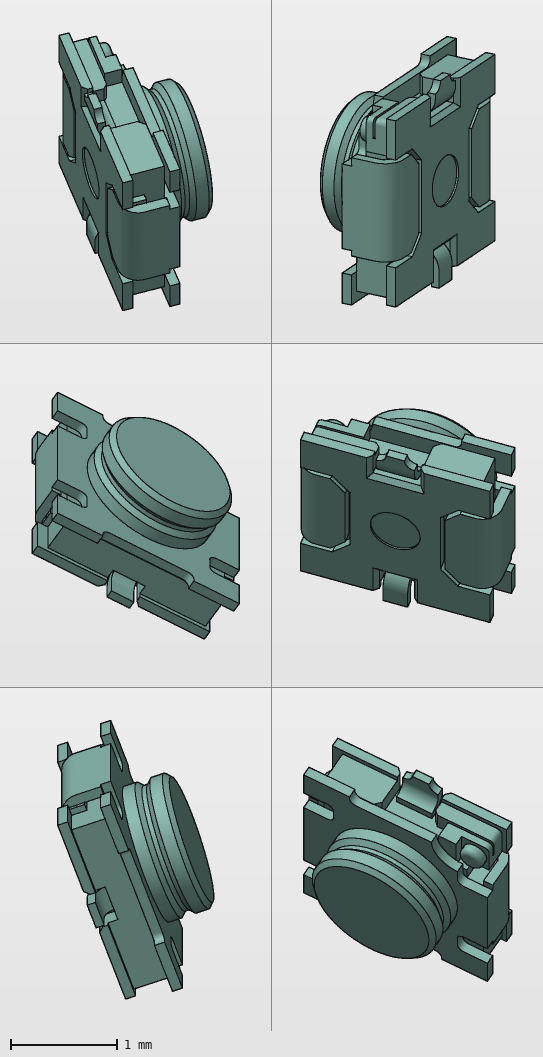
import cadquery as cq
import math


SHELL_HALF = 1.0
SHEET = 0.1
PLATE_FRONT = 0.45
PLATE_BACK = PLATE_FRONT + SHEET
CUT_MARGIN = 0.21

RING_RADIUS = 0.675
RING_CHAMFER = 0.05
RING_LAND = 0.125
RING_GROOVE = 0.046

CORNER_RADIUS = 0.07
TAB_INNER_X = 0.5
TAB_INNER_Z = 0.693
PLATE_HALF_HEIGHT = 0.9
RELIEF_X = 0.675
RELIEF_Z = 0.445
OPEN_CORNER_Z = 0.415
OPEN_ARC_RADIUS = 0.284

LEG_HALF_HEIGHT = 0.5
LEG_INNER_X = SHELL_HALF - SHEET
LEG_END_X = 0.5
LEG_CHAMFER = 0.15
LEG_BEND = 0.2

BASE_HALF = 0.947
BLOCK_HALF = 0.892
BLOCK_RIGHT = 0.835
SHOULDER_BACK = 0.252
LEG_GAP = 0.048
FLOOR_Z = 0.697
LOWER_NOTCH_Z = 0.67
UPPER_NOTCH_HALF = 0.24
LOWER_NOTCH_HALF = 0.176
NOTCH_CHAMFER = 0.048
CORNER_NOTCH_X = 0.718
DIMPLE_RADIUS = 0.25
DIMPLE_DEPTH = 0.02

SLIT_FRONT = SHOULDER_BACK
SLIT_WIDTH = 0.02
POCKET_LEFT = 0.412
FRONT_CORNER_CHAMFER = 0.042
BACK_CORNER_CHAMFER = 0.063
EDGE_ROUNDING = 0.055
PEG_X = -0.75
PEG_Z = 0.72
PEG_RADIUS = 0.125
PEG_ROUNDING = 0.05
PEG_SEAT_Y = 0.346
PEG_SEAT_RIGHT = 0.6

TERMINAL_TIP = 1.05
TERMINAL_SHEET = 0.082
TERMINAL_BEND = 0.2
UPPER_TERMINAL_HALF = 0.193
LOWER_TERMINAL_HALF = 0.124
LUG_TIP_SCALLOP = 0.1


def box(x0, x1, y0, y1, z0, z1):
    """Box between two opposite corners."""
    return cq.Workplane("XY").box(x1 - x0, y1 - y0, z1 - z0, centered=False).translate((x0, y0, z0))


def prism(points, y0, y1):
    """Straight body along Y with an outline given as (X, Z) points."""
    return cq.Workplane("XZ", origin=(0, y0, 0)).polyline(points).close().extrude(y0 - y1)


def cylinder(x, z, radius, y0, y1):
    """Cylinder along Y."""
    return cq.Workplane("XZ", origin=(x, y0, z)).circle(radius).extrude(y0 - y1)


def plate_cut(x0, x1, z0, z1):
    """Cut-out through the shell plate with rounded corners."""
    return box(x0, x1, PLATE_FRONT, PLATE_BACK, z0, z1).edges("|Y").fillet(CORNER_RADIUS)


def make_plate():
    outside = SHELL_HALF + CUT_MARGIN
    plate = box(-SHELL_HALF, SHELL_HALF, PLATE_FRONT, PLATE_BACK, -SHELL_HALF, SHELL_HALF)

    plate = plate.cut(plate_cut(RELIEF_X, outside, RELIEF_Z, TAB_INNER_Z))
    plate = plate.cut(plate_cut(RELIEF_X, outside, -TAB_INNER_Z, -RELIEF_Z))
    plate = plate.cut(plate_cut(-outside, -RELIEF_X, -TAB_INNER_Z, -RELIEF_Z))

    plate = plate.cut(plate_cut(-outside, TAB_INNER_X, PLATE_HALF_HEIGHT, outside))
    plate = plate.cut(plate_cut(-TAB_INNER_X, TAB_INNER_X, -outside, -PLATE_HALF_HEIGHT))

    plate = plate.cut(plate_cut(-outside, -RELIEF_X, OPEN_CORNER_Z, outside))
    return plate.cut(cylinder(-RELIEF_X, PLATE_HALF_HEIGHT, OPEN_ARC_RADIUS, PLATE_FRONT, PLATE_BACK))


def make_ring():
    """Mating ring with an end chamfer and a snap groove, revolved about Y."""
    groove_radius = RING_RADIUS - RING_CHAMFER
    steps = [
        (RING_RADIUS, RING_LAND),
        (groove_radius, RING_CHAMFER),
        (groove_radius, RING_GROOVE),
        (RING_RADIUS, RING_CHAMFER),
        (RING_RADIUS, RING_LAND),
        (groove_radius, RING_CHAMFER),
    ]
    y = PLATE_BACK
    outline = [(0, y), (RING_RADIUS, y)]
    for radius, length in steps:
        y += length
        outline.append((radius, y))
    outline.append((0, y))
    return cq.Workplane("XY").polyline(outline).close().revolve(360, (0, 0, 0), (0, 1, 0))


def make_leg(side):
    """Leg folded over the housing; side is +1 for +X and -1 for -X."""
    outer = box(LEG_END_X, SHELL_HALF, 0, PLATE_FRONT, -LEG_HALF_HEIGHT, LEG_HALF_HEIGHT)
    outer = outer.edges("|Z and >X and <Y").fillet(LEG_BEND)
    inside = box(0, LEG_INNER_X, SHEET, PLATE_FRONT, -LEG_HALF_HEIGHT, LEG_HALF_HEIGHT)
    inside = inside.edges("|Z and >X and <Y").fillet(LEG_BEND - SHEET)
    leg = outer.cut(inside).edges("|Y and <X").chamfer(LEG_CHAMFER)
    return leg if side > 0 else leg.mirror("YZ")


def make_shell():
    shell = make_plate().union(make_ring())
    for side in (1, -1):
        shell = shell.union(make_leg(side))
    return shell


def leg_recess(side):
    """Opening in the base around a folded leg, larger by the gap all round."""
    inner_x = LEG_END_X - LEG_GAP
    half = LEG_HALF_HEIGHT + LEG_GAP
    chamfer = LEG_CHAMFER + LEG_GAP * (2 - math.sqrt(2))
    points = [
        (side * SHELL_HALF, -half),
        (side * (inner_x + chamfer), -half),
        (side * inner_x, -half + chamfer),
        (side * inner_x, half - chamfer),
        (side * (inner_x + chamfer), half),
        (side * SHELL_HALF, half),
    ]
    return prism(points, 0, SHEET)


def notch(half_width, end_z, direction, depth):
    """Terminal notch open to +Z or -Z, with a chamfer around it on the front face."""
    outside = BASE_HALF + CUT_MARGIN
    low, high = sorted((direction * end_z, direction * outside))
    straight = box(-half_width, half_width, 0, depth, low, high)
    flare = (
        cq.Workplane("XZ", origin=(0, 0, (low + high) / 2))
        .rect(2 * (half_width + NOTCH_CHAMFER), high - low + 2 * NOTCH_CHAMFER)
        .extrude(-NOTCH_CHAMFER, taper=45)
    )
    return straight.union(flare)


def upper_channel():
    """Channel behind the upper notch: it widens to -X and runs out in a narrow slit."""
    slit_back = SLIT_FRONT + SLIT_WIDTH
    half = UPPER_NOTCH_HALF
    outline = [
        (half, SHEET),
        (half, PLATE_FRONT - BACK_CORNER_CHAMFER),
        (half + BACK_CORNER_CHAMFER, PLATE_FRONT),
        (-POCKET_LEFT, PLATE_FRONT),
        (-POCKET_LEFT, slit_back),
        (-SHELL_HALF, slit_back),
        (-SHELL_HALF, SLIT_FRONT),
        (-half - FRONT_CORNER_CHAMFER, SLIT_FRONT),
        (-half, SLIT_FRONT - FRONT_CORNER_CHAMFER),
        (-half, SHEET),
    ]
    floor = cq.Workplane("XY", origin=(0, 0, FLOOR_Z))
    return floor.polyline(outline).close().extrude(SHELL_HALF - FLOOR_Z)


def make_block():
    recess_half = LEG_HALF_HEIGHT + LEG_GAP
    block = box(-LEG_INNER_X, BLOCK_RIGHT, SHEET, PLATE_FRONT, -BLOCK_HALF, BLOCK_HALF)
    block = block.edges("|Y and <X and >Z").fillet(EDGE_ROUNDING)
    shoulder = box(0, LEG_INNER_X, SHEET, SHOULDER_BACK, -recess_half, recess_half)
    corner_notch = box(-SHELL_HALF, -CORNER_NOTCH_X, SHEET, PLATE_FRONT, OPEN_CORNER_Z, recess_half)
    peg_seat = box(-SHELL_HALF, -PEG_SEAT_RIGHT, PEG_SEAT_Y, PLATE_FRONT, recess_half, SHELL_HALF)
    return block.union(shoulder).cut(corner_notch).cut(peg_seat).cut(upper_channel())


def make_peg():
    """Round-ended peg in the upper -X corner."""
    peg = cylinder(PEG_X, PEG_Z, PEG_RADIUS, PEG_SEAT_Y, PLATE_FRONT)
    return peg.faces(">Y").edges().fillet(PEG_ROUNDING)


def make_housing(shell):
    base = box(-BASE_HALF, BASE_HALF, 0, SHEET, -BASE_HALF, BASE_HALF)
    for side in (1, -1):
        base = base.cut(leg_recess(side))
    housing = base.union(make_block()).union(make_peg())
    housing = housing.cut(notch(UPPER_NOTCH_HALF, FLOOR_Z, 1, SHEET))
    housing = housing.cut(notch(LOWER_NOTCH_HALF, LOWER_NOTCH_Z, -1, TERMINAL_BEND))
    housing = housing.cut(cylinder(0, 0, DIMPLE_RADIUS, 0, DIMPLE_DEPTH))
    return housing.cut(shell)


def make_terminal(half_width, end_z):
    """Sheet lug pointing to +Z with a quarter bend back to +Y at its root."""
    inner = TERMINAL_BEND - TERMINAL_SHEET
    bend_z = end_z + TERMINAL_BEND
    diagonal = math.sqrt(0.5)
    outer_mid = (TERMINAL_BEND * (1 - diagonal), bend_z - TERMINAL_BEND * diagonal)
    inner_mid = (TERMINAL_BEND - inner * diagonal, bend_z - inner * diagonal)
    return (
        cq.Workplane("YZ", origin=(-half_width, 0, 0))
        .moveTo(0, TERMINAL_TIP)
        .lineTo(0, bend_z)
        .threePointArc(outer_mid, (TERMINAL_BEND, end_z))
        .lineTo(TERMINAL_BEND, end_z + TERMINAL_SHEET)
        .threePointArc(inner_mid, (TERMINAL_SHEET, bend_z))
        .lineTo(TERMINAL_SHEET, TERMINAL_TIP)
        .close()
        .extrude(2 * half_width)
    )


def make_upper_terminal():
    terminal = make_terminal(UPPER_TERMINAL_HALF, FLOOR_Z)
    for side in (1, -1):
        scallop_x = side * UPPER_TERMINAL_HALF
        terminal = terminal.cut(cylinder(scallop_x, TERMINAL_TIP, LUG_TIP_SCALLOP, 0, TERMINAL_SHEET))
    return terminal


def make_lower_terminal():
    return make_terminal(LOWER_TERMINAL_HALF, LOWER_NOTCH_Z).mirror("XY")


shell = make_shell()
housing = make_housing(shell)
upper_terminal = make_upper_terminal()
lower_terminal = make_lower_terminal()

result = cq.Compound.makeCompound(
    [shell.val(), housing.val(), upper_terminal.val(), lower_terminal.val()]
)